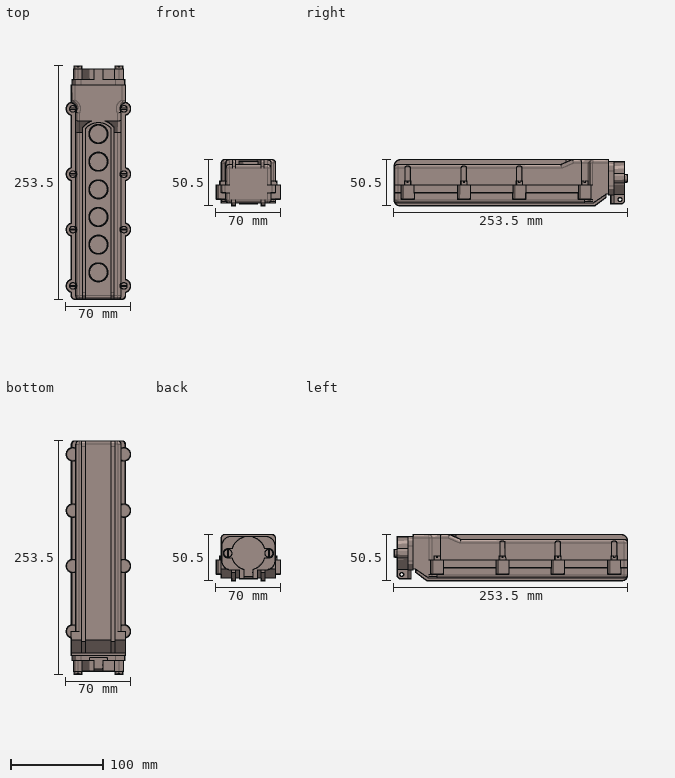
import cadquery as cq
import math

TOP_Z = 50.5
TOTAL_LENGTH = 253.5

WALL_X = 24.5
WIDE_X = 29.53
BOTTOM_Z = 3.0
DECK_Z = 44.9
HEAD_BACK_Y = 232.7
HEAD_UNDER_Z = 12.7
UNDER_SLOPE_END_Y = 230.2
UNDER_SLOPE_START_Y = 216.0
RAMP_LOW_Y = 181.0
RAMP_HIGH_Y = 193.7
EDGE_RADIUS = 4.0
BOTTOM_EDGE_RADIUS = 3.5

FLANGE_BOTTOM_Z = 14.7
FLANGE_TOP_Z = 22.8
LIP_THICKNESS = 0.8
LIP_INSET = 0.8

LUG_X = 27.73
LUG_RADIUS = 7.25
LUG_BOTTOM_Z = 7.0
LUG_EDGE_RADIUS = 0.8
HEAD_LUG_Y = 206.9
LUG_YS = (14.7, 75.8, 136.0, HEAD_LUG_Y)
SCREW_RADIUS = 3.5
SCREW_TOP_Z = 26.9
SCREW_SLOT = 1.3
GROOVE_RADIUS = 4.3
GROOVE_TOP_Z = 43.3
GROOVE_EDGE_RADIUS = 1.0
HEAD_CLEARANCE_RADIUS = 6.0
HEAD_CLEARANCE_ROUND = 3.0
HEAD_FOOT_Z = 4.8

RIM_OUTER_X = 17.0
RIM_INNER_X = 14.0
RIM_ARC_Y = 173.6
RIM_OUTER_ARC = 21.3
RIM_INNER_ARC = RIM_OUTER_ARC - (RIM_OUTER_X - RIM_INNER_X)
RIM_FRONT_RADIUS = 7.5
BUTTON_RADIUS = 10.5
BUTTON_TOP_Z = 49.0
BUTTON_CHAMFER = 0.8
BUTTON_COUNT = 6
BUTTON_FIRST_Y = 29.5
BUTTON_PITCH = 30.01

RAIL_INNER_X = 14.0
RAIL_OUTER_X = 18.3
RAIL_SLOPE_Y = 217.8
RAIL_END_Z = 9.0
RAIL_FRONT_RADIUS = 6.3

PLATE_X = 28.77
PLATE_BACK_Y = 238.5
PLATE_CORNER_RADIUS = 10.1
GLAND_BACK_Y = 250.08
GLAND_Z = 30.0
GLAND_RADIUS = 18.3
GLAND_SCREW_X = 22.18
GLAND_EAR_RADIUS = 5.0
GLAND_PAD_X = 4.8
GLAND_SCREW_RADIUS = 4.3
TAB_X = 10.0
TAB_FRONT_Y = 235.0
TAB_BOTTOM_Z = 2.0
TAB_CHAMFER = 2.5
TAB_CORNER_RADIUS = 1.5
TAB_HOLE_Y = 245.1
TAB_HOLE_Z = 6.8
TAB_HOLE_RADIUS = 2.0

SIDES = (-1, 1)


def block(x0, x1, y0, y1, z0, z1):
    return cq.Workplane("XY").box(x1 - x0, y1 - y0, z1 - z0, centered=False).translate((x0, y0, z0))


def post(x, y, z0, z1, radius):
    return cq.Workplane("XY").workplane(offset=z0).center(x, y).circle(radius).extrude(z1 - z0)


def side_prism(points, x0, x1):
    """Extrude a closed (Y, Z) outline from x0 to x1."""
    return cq.Workplane("YZ").workplane(offset=x0).polyline(points).close().extrude(x1 - x0)


def gland_post(x, y0, y1, radius):
    """Cylinder along Y at the height of the gland axis."""
    base = cq.Workplane("XZ", origin=(x, y0, GLAND_Z))
    return base.circle(radius).extrude(y0 - y1)


def clear_head_corners(body, z0, z1):
    """Hollow the front corners of the wide head around its screws and round the mouths."""
    for side in SIDES:
        body = body.cut(post(side * WIDE_X, HEAD_LUG_Y, z0, z1, HEAD_CLEARANCE_RADIUS))
    middle_y = (HEAD_LUG_Y + HEAD_BACK_Y) / 2
    mouths = cq.selectors.BoxSelector((-WIDE_X - 2.5, HEAD_LUG_Y + 0.3, z0), (WIDE_X + 2.5, middle_y, z1))
    return body.edges("|Z").edges(mouths).fillet(HEAD_CLEARANCE_ROUND)


def upper_shell():
    """Housing above the parting flange, with the ramp and rounded top edges."""
    shell = block(-WALL_X, WALL_X, 0, HEAD_LUG_Y, FLANGE_TOP_Z, TOP_Z)
    shell = shell.union(block(-WIDE_X, WIDE_X, HEAD_LUG_Y, HEAD_BACK_Y, FLANGE_TOP_Z, TOP_Z))
    shell = clear_head_corners(shell, FLANGE_TOP_Z, TOP_Z)
    above_deck = [(0, DECK_Z), (RAMP_LOW_Y, DECK_Z), (RAMP_HIGH_Y, TOP_Z), (0, TOP_Z)]
    shell = shell.cut(side_prism(above_deck, -WIDE_X, WIDE_X))

    front_corners = cq.StringSyntaxSelector("|Z and <Y")
    top_sides = cq.selectors.BoxSelector(
        (-WIDE_X - 2.5, -2.5, DECK_Z - 0.3), (WIDE_X + 2.5, HEAD_BACK_Y - 0.3, TOP_Z + 0.3))
    ramp_creases = cq.selectors.BoxSelector(
        (-2.5, RAMP_LOW_Y - 0.3, DECK_Z - 0.3), (2.5, RAMP_HIGH_Y + 0.3, TOP_Z + 0.3))
    return shell.edges(top_sides - ramp_creases + front_corners).fillet(EDGE_RADIUS)


def lower_cover():
    """Housing below the flange top, sloping up under the head."""
    cover = block(-WALL_X, WALL_X, 0, HEAD_LUG_Y, BOTTOM_Z, FLANGE_TOP_Z)
    cover = cover.edges("|Z and <Y").fillet(EDGE_RADIUS)
    cover = cover.faces("<Z").edges("not >Y").fillet(BOTTOM_EDGE_RADIUS)
    outline = [
        (HEAD_LUG_Y, BOTTOM_Z),
        (UNDER_SLOPE_START_Y, BOTTOM_Z),
        (UNDER_SLOPE_END_Y, HEAD_UNDER_Z),
        (HEAD_BACK_Y, HEAD_UNDER_Z),
        (HEAD_BACK_Y, FLANGE_TOP_Z),
        (HEAD_LUG_Y, FLANGE_TOP_Z),
    ]
    head = side_prism(outline, -WIDE_X, WIDE_X)
    under_lugs = block(-WIDE_X, WIDE_X, HEAD_LUG_Y, HEAD_BACK_Y, HEAD_FOOT_Z, LUG_BOTTOM_Z)
    cleared = clear_head_corners(under_lugs, HEAD_FOOT_Z, LUG_BOTTOM_Z)
    return cover.union(head.cut(under_lugs.cut(cleared)))


def flange():
    """Parting flange with the thin lip of the cover under it."""
    upper = block(-WIDE_X, WIDE_X, 0, HEAD_LUG_Y, FLANGE_BOTTOM_Z, FLANGE_TOP_Z)
    lip_x = WIDE_X - LIP_INSET
    lip = block(-lip_x, lip_x, 0, HEAD_LUG_Y, FLANGE_BOTTOM_Z - LIP_THICKNESS, FLANGE_BOTTOM_Z)
    upper = upper.edges("|Z and <Y").fillet(EDGE_RADIUS)
    return upper.union(lip.edges("|Z and <Y").fillet(EDGE_RADIUS))


def button_field(half_width, arc_radius, z0, z1):
    """Strip open at the front face and closed by an arc at the rear."""
    shoulder_y = RIM_ARC_Y + math.sqrt(arc_radius**2 - half_width**2)
    outline = (
        cq.Workplane("XY").workplane(offset=z0)
        .moveTo(-half_width, 0)
        .lineTo(half_width, 0)
        .lineTo(half_width, shoulder_y)
        .threePointArc((0, RIM_ARC_Y + arc_radius), (-half_width, shoulder_y))
        .close()
    )
    return outline.extrude(z1 - z0)


def rim():
    raised = button_field(RIM_OUTER_X, RIM_OUTER_ARC, DECK_Z - EDGE_RADIUS, TOP_Z)
    return raised.faces(">Z").edges("<Y").fillet(RIM_FRONT_RADIUS)


def recess():
    """Space inside the rim; its floor keeps the rounded front edge of the deck."""
    floor = block(-RIM_OUTER_X, RIM_OUTER_X, 0, HEAD_BACK_Y, BOTTOM_Z, DECK_Z)
    floor = floor.faces(">Z").edges("<Y").fillet(EDGE_RADIUS)
    return button_field(RIM_INNER_X, RIM_INNER_ARC, DECK_Z - EDGE_RADIUS, TOP_Z).cut(floor)


def button(y):
    body = post(0, y, DECK_Z, BUTTON_TOP_Z, BUTTON_RADIUS)
    return body.faces(">Z").chamfer(BUTTON_CHAMFER)


def lug(side, y):
    body = post(side * LUG_X, y, LUG_BOTTOM_Z, FLANGE_TOP_Z, LUG_RADIUS)
    return body.faces("<Z").edges().fillet(LUG_EDGE_RADIUS)


def lug_screw(side, y):
    x = side * LUG_X
    head = post(x, y, FLANGE_TOP_Z, SCREW_TOP_Z, SCREW_RADIUS)
    half_slot = SCREW_SLOT / 2
    slot_floor = SCREW_TOP_Z - SCREW_SLOT
    slot = block(x - SCREW_RADIUS, x + SCREW_RADIUS, y - half_slot, y + half_slot, slot_floor, SCREW_TOP_Z)
    return head.cut(slot)


def groove(side, y):
    body = post(side * LUG_X, y, FLANGE_TOP_Z, GROOVE_TOP_Z, GROOVE_RADIUS)
    return body.faces(">Z").edges().fillet(GROOVE_EDGE_RADIUS)


def rail(side):
    outline = [
        (0, 0),
        (RAIL_SLOPE_Y, 0),
        (UNDER_SLOPE_END_Y, RAIL_END_Z),
        (UNDER_SLOPE_END_Y, HEAD_UNDER_Z),
        (0, HEAD_UNDER_Z),
    ]
    x0, x1 = sorted((side * RAIL_INNER_X, side * RAIL_OUTER_X))
    return side_prism(outline, x0, x1).faces("<Z").edges("<Y").fillet(RAIL_FRONT_RADIUS)


def gland():
    """Base plate with a round barrel, two screw ears and a flat pad on top."""
    bottom_z = GLAND_Z - GLAND_RADIUS
    top_z = GLAND_Z + GLAND_RADIUS
    ear_bottom_z = GLAND_Z - GLAND_EAR_RADIUS
    ear_top_z = GLAND_Z + GLAND_EAR_RADIUS
    plate = block(-PLATE_X, PLATE_X, HEAD_BACK_Y, PLATE_BACK_Y, bottom_z, top_z)
    body = plate.edges("|Y").fillet(PLATE_CORNER_RADIUS)
    body = body.union(gland_post(0, PLATE_BACK_Y, GLAND_BACK_Y, GLAND_RADIUS))
    body = body.union(block(-GLAND_PAD_X, GLAND_PAD_X, PLATE_BACK_Y, GLAND_BACK_Y, GLAND_Z, top_z))
    body = body.union(
        block(-GLAND_SCREW_X, GLAND_SCREW_X, PLATE_BACK_Y, GLAND_BACK_Y, ear_bottom_z, ear_top_z))
    for side in SIDES:
        ear = gland_post(side * GLAND_SCREW_X, PLATE_BACK_Y, GLAND_BACK_Y, GLAND_EAR_RADIUS)
        body = body.union(ear).union(gland_screw(side))
    return body


def gland_screw(side):
    x = side * GLAND_SCREW_X
    head = gland_post(x, GLAND_BACK_Y, TOTAL_LENGTH, GLAND_SCREW_RADIUS)
    half_slot = SCREW_SLOT / 2
    slot = block(
        x - half_slot, x + half_slot, TOTAL_LENGTH - SCREW_SLOT, TOTAL_LENGTH,
        GLAND_Z - GLAND_SCREW_RADIUS, GLAND_Z + GLAND_SCREW_RADIUS)
    return head.cut(slot)


def hanging_tab():
    """Narrow drilled tab under the gland, backed by a wider plate."""
    narrow = block(-GLAND_PAD_X, GLAND_PAD_X, PLATE_BACK_Y, GLAND_BACK_Y, TAB_BOTTOM_Z, GLAND_Z)
    narrow = narrow.faces("<Z").edges(">Y").chamfer(TAB_CHAMFER)
    hole = cq.Workplane("YZ").center(TAB_HOLE_Y, TAB_HOLE_Z).circle(TAB_HOLE_RADIUS)
    narrow = narrow.cut(hole.extrude(GLAND_PAD_X, both=True))
    wide = block(-TAB_X, TAB_X, TAB_FRONT_Y, PLATE_BACK_Y, TAB_BOTTOM_Z, GLAND_Z)
    wide = wide.edges("|Z and <Y").fillet(TAB_CORNER_RADIUS)
    return narrow.union(wide)


result = upper_shell().union(lower_cover()).union(flange())
result = result.union(rim()).cut(recess())
result = result.union(gland()).union(hanging_tab())
for index in range(BUTTON_COUNT):
    result = result.union(button(BUTTON_FIRST_Y + index * BUTTON_PITCH))
for side in SIDES:
    result = result.union(rail(side))
    for lug_y in LUG_YS:
        if lug_y != HEAD_LUG_Y:
            result = result.cut(groove(side, lug_y))
        result = result.union(lug(side, lug_y)).union(lug_screw(side, lug_y))